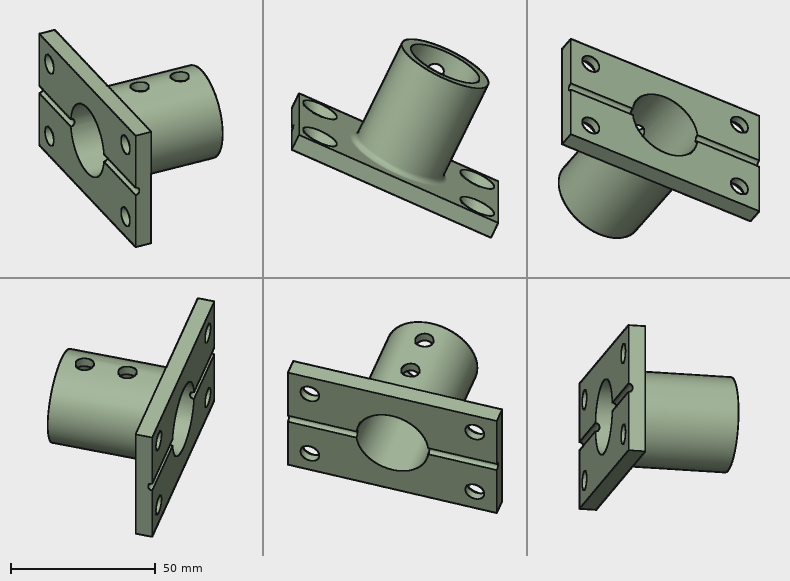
import cadquery as cq
import math

plate_length = 76.0
plate_height = 45.0
plate_thickness = 6.0
bolt_hole_diameter = 6.85
countersink_diameter = 12.9
countersink_angle = 90.0
bolt_spacing_x = 60.0
bolt_spacing_z = 29.0

overall_depth = 44.0
tube_diameter = 33.1
bore_diameter = 26.2

fillet_radius = 2.0

groove_diameter = 3.0

screw_hole_diameter = 6.4
end_to_first_screw = 8.5
screw_spacing = 15.4


def cylinder_along_y(diameter, start, end):
    """Solid cylinder on the Y axis between two Y positions."""
    return (
        cq.Workplane("XZ", origin=(0, start, 0))
        .circle(diameter / 2)
        .extrude(start - end)
    )


def make_plate():
    """Rectangular plate with its front face at Y = 0 and bolt holes countersunk from the back."""
    plate = cq.Workplane("XY").box(
        plate_length, plate_thickness, plate_height, centered=(True, False, True)
    )
    return (
        plate.faces(">Y")
        .workplane(centerOption="CenterOfBoundBox")
        .rarray(bolt_spacing_x, bolt_spacing_z, 2, 2)
        .cskHole(bolt_hole_diameter, countersink_diameter, countersink_angle)
    )


def make_fillet_ring():
    """Ring with a quarter-circle concave profile, tangent to the tube and to the plate."""
    tube_radius = tube_diameter / 2
    ring_radius = tube_radius + fillet_radius
    ring_end = plate_thickness + fillet_radius
    arc_offset = fillet_radius * math.sqrt(0.5)
    return (
        cq.Workplane("XY")
        .moveTo(0, plate_thickness)
        .lineTo(ring_radius, plate_thickness)
        .threePointArc((ring_radius - arc_offset, ring_end - arc_offset), (tube_radius, ring_end))
        .lineTo(0, ring_end)
        .close()
        .revolve(360, (0, 0, 0), (0, 1, 0))
    )


def make_groove():
    """Half-round groove along the whole length of the plate."""
    return (
        cq.Workplane("YZ")
        .circle(groove_diameter / 2)
        .extrude(plate_length / 2, both=True)
    )


def make_screw_holes():
    """Two radial holes that reach from the tube axis out through the top."""
    first_y = overall_depth - end_to_first_screw
    return (
        cq.Workplane("XY")
        .pushPoints([(0, first_y), (0, first_y - screw_spacing)])
        .circle(screw_hole_diameter / 2)
        .extrude(tube_diameter)
    )


tube = cylinder_along_y(tube_diameter, plate_thickness, overall_depth)
bore = cylinder_along_y(bore_diameter, 0, overall_depth)

result = (
    make_plate()
    .union(tube)
    .union(make_fillet_ring())
    .cut(bore)
    .cut(make_groove())
    .cut(make_screw_holes())
)